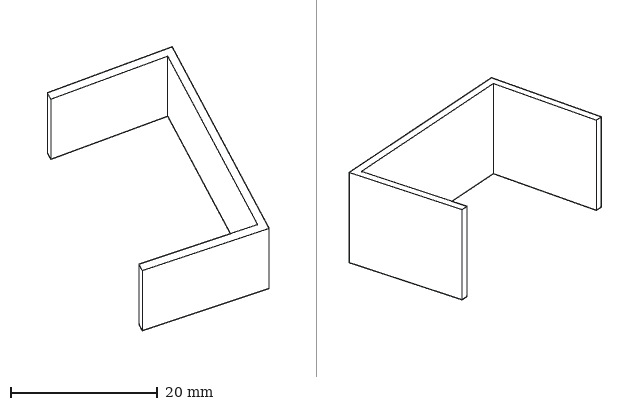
import cadquery as cq

back_width = 33.3
depth = 18.7
height = 14.0
wall = 1.2

leg_lean = 0.35
leg_slope = leg_lean / depth

half_back = back_width / 2
outer_tip = half_back - leg_lean
inner_tip = outer_tip - wall
inner_corner = inner_tip + (depth - wall) * leg_slope


def make_clip():
    """U-shaped clip, open towards -Y, with its back face at y = 0."""
    outline = [
        (-half_back, 0),
        (half_back, 0),
        (outer_tip, -depth),
        (inner_tip, -depth),
        (inner_corner, -wall),
        (-inner_corner, -wall),
        (-inner_tip, -depth),
        (-outer_tip, -depth),
    ]
    return cq.Workplane("XY").polyline(outline).close().extrude(height)


result = make_clip()